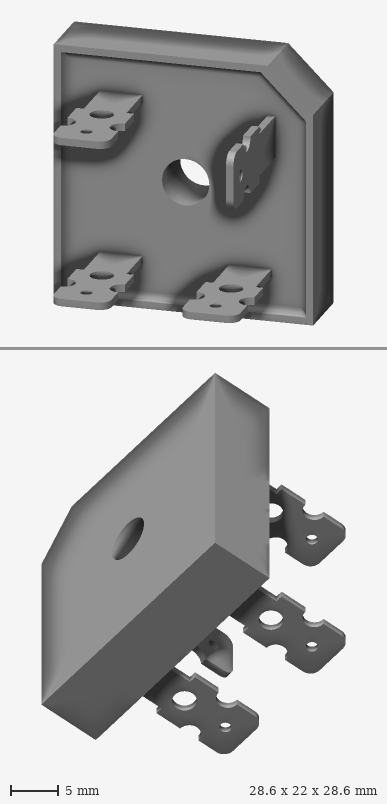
import cadquery as cq

side = 28.6
total_depth = 22.0
body_depth = 7.5
corner_cut = 5.0
bore_diameter = 5.2

rim_width = 0.8
cove_radius = 0.83
recess_depth = 0.83
cutter_overrun = 0.3

lead_thickness = 0.83
blade_width = 6.35
blade_length = 9.5
neck_width = 4.7
blade_corner_radius = 1.25
notch_radius = 1.25
notch_from_tip = 4.98
large_hole_diameter = 2.6
large_hole_from_tip = 8.3
small_hole_diameter = 1.3
small_hole_from_tip = 2.65

lead_x = 7.12
upper_lead_z = 8.87
lower_lead_z = -9.18
upright_lead_x = 9.47
upright_lead_z = 6.1

front_y = -body_depth
floor_y = front_y + recess_depth
tip_y = -total_depth


def cut_corner_prism(width, cut, y_start, depth):
    """Square prism running from y_start toward +Y, its +X +Z corner cut off."""
    half = width / 2
    outline = [
        (-half, -half),
        (half, -half),
        (half, half - cut),
        (half - cut, half),
        (-half, half),
    ]
    plane = cq.Workplane("XZ", origin=(0, y_start, 0))
    return plane.polyline(outline).close().extrude(-depth)


def make_housing():
    housing = cut_corner_prism(side, corner_cut, front_y, body_depth)
    pocket = cut_corner_prism(
        side - 2 * rim_width,
        corner_cut,
        front_y - cutter_overrun,
        recess_depth + cutter_overrun,
    )
    pocket = pocket.faces(">Y").edges().fillet(cove_radius)
    bore = cq.Workplane("XZ").circle(bore_diameter / 2).extrude(body_depth)
    return housing.cut(pocket).cut(bore)


def make_lead(with_large_hole):
    """Horizontal lead centred on X = 0, Z = 0, running from the recess floor to the tip."""
    blade = cq.Workplane().box(blade_width, blade_length, lead_thickness)
    blade = blade.translate((0, tip_y + blade_length / 2, 0))
    blade = blade.edges("|Z and <Y").fillet(blade_corner_radius)
    neck_length = floor_y - tip_y - blade_length
    neck = cq.Workplane().box(neck_width, neck_length, lead_thickness)
    lead = blade.union(neck.translate((0, floor_y - neck_length / 2, 0)))

    openings = [
        (-blade_width / 2, notch_from_tip, notch_radius),
        (blade_width / 2, notch_from_tip, notch_radius),
        (0, small_hole_from_tip, small_hole_diameter / 2),
    ]
    if with_large_hole:
        openings.append((0, large_hole_from_tip, large_hole_diameter / 2))
    for x, from_tip, radius in openings:
        cutter = cq.Workplane().center(x, tip_y + from_tip).circle(radius)
        lead = lead.cut(cutter.extrude(lead_thickness, both=True))
    return lead


result = make_housing()

flat_lead = make_lead(with_large_hole=True)
for x, z in [(-lead_x, upper_lead_z), (-lead_x, lower_lead_z), (lead_x, lower_lead_z)]:
    result = result.union(flat_lead.translate((x, 0, z)))

upright_lead = make_lead(with_large_hole=False).rotate((0, 0, 0), (0, 1, 0), 90)
result = result.union(upright_lead.translate((upright_lead_x, 0, upright_lead_z)))